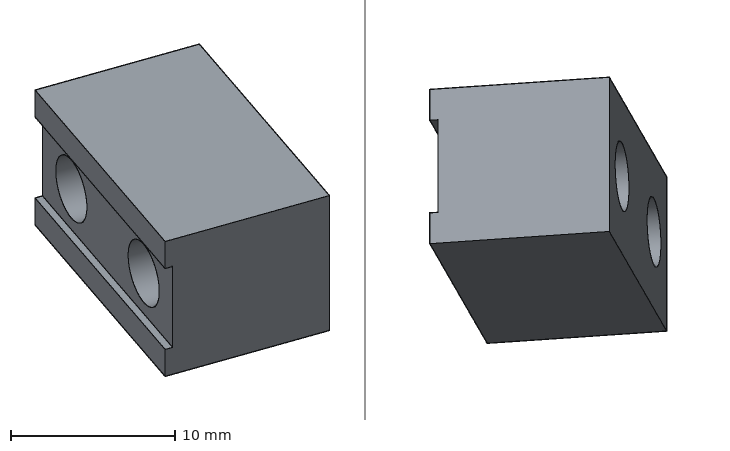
import cadquery as cq

length = 18.0
depth = 11.15
height = 10.0

groove_height = 6.0
groove_depth = 0.5

hole_diameter = 4.3
hole_spacing = 10.0


def make_block():
    return cq.Workplane("XY").box(length, depth, height)


def make_groove():
    groove_center_y = -depth / 2 + groove_depth / 2
    groove = cq.Workplane("XY").box(length, groove_depth, groove_height)
    return groove.translate((0, groove_center_y, 0))


def make_holes():
    hole_centers = [(-hole_spacing / 2, 0), (hole_spacing / 2, 0)]
    return (
        cq.Workplane("XZ")
        .pushPoints(hole_centers)
        .circle(hole_diameter / 2)
        .extrude(depth / 2, both=True)
    )


result = make_block().cut(make_groove()).cut(make_holes())